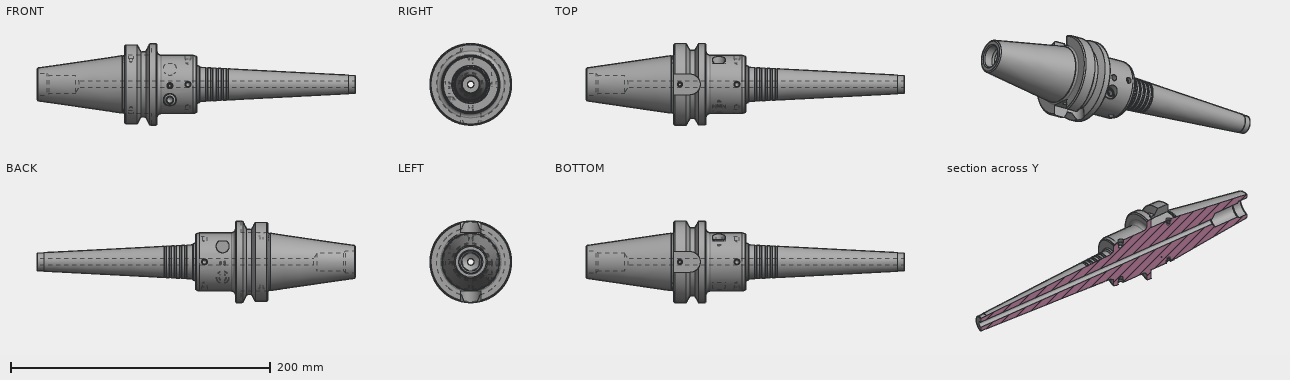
import cadquery as cq
import math

total_length = 245.5

gauge_x = 65.3
gauge_radius = 44.5 / 2
taper_slope = 3.5 / 24
small_end_chamfer = 0.85
neck_radius = 21.8
neck_fillet = 1.5

flange_start = 67.5
flange_end = 92.5
flange_radius = 63.0 / 2
flange_chamfer = 1.0
groove_center = 82.0
groove_floor_radius = 52.8 / 2
groove_floor_half = 1.85
groove_flank_angle = 30
groove_depth = flange_radius - groove_floor_radius
groove_top_half = groove_floor_half + groove_depth * math.tan(math.radians(groove_flank_angle))

body_radius = 45.2 / 2
body_fillet = 3.2
body_end = 123.2
body_edge_length = 2.2
body_edge_drop = 0.7
body_rim = 0.7
hub_root_radius = 14.7
hub_radius = 14.2
hub_shoulder = 124.7
hub_end = 125.6

tip_radius = 14.0 / 2
tip_step = 0.3
tip_start = 240.2
tip_chamfer = 0.5
nose_slope = math.tan(math.radians(3))

ring_count = 5
ring_first = 129.8
ring_last = 145.8
ring_width = 2.0
ring_depth = 0.2
ring_wall = 0.37
ring_pitch = (ring_last - ring_first) / (ring_count - 1)

mouth_radius = 9.3
mouth_chamfer = 0.85
pilot_radius = mouth_radius - mouth_chamfer
pilot_depth = 7.5
thread_radius = 14.0 / 2
thread_depth = 29.5
coolant_radius = 2.5
drill_point_slope = math.tan(math.radians(59))

slot_width = 16.0
slot_floor = 22.5
slot_end = 88.0
slot_screw_x = 72.5
slot_screw_diameter = 4.0
slot_screw_core = 2.3
slot_screw_depth = 5.0

front_screw_count = 4
front_screw_x = 116.3
front_screw_diameter = 4.5
front_screw_core = 3.5
front_screw_depth = 6.1

plug_x = 102.3
plug_seat = 16.0
socket_depth = 2.5

large_plug_z = -12.0
large_bore_diameter = 10.0
large_plug_diameter = 9.0
large_plug_face = 6.0
large_plug_height = 1.5
large_socket_diameter = 4.7

small_plug_z = -1.0
small_bore_diameter = 4.7
small_plug_diameter = 4.2
small_plug_face = 3.5
small_plug_height = 0.7
small_socket_diameter = 2.3


def taper_radius(x):
    return gauge_radius - (gauge_x - x) * taper_slope


def nose_radius(x):
    return tip_radius + tip_step + (tip_start - x) * nose_slope


def turn_about_x(shape, angle):
    return shape.rotate((0, 0, 0), (1, 0, 0), angle)


def turned_body():
    sagitta = 1 - math.sqrt(0.5)
    neck_mid = (flange_start - neck_fillet * sagitta, neck_radius + neck_fillet * sagitta)
    body_mid = (flange_end + body_fillet * sagitta, body_radius + body_fillet * sagitta)
    body_edge_radius = body_radius - body_edge_drop

    outline = (
        cq.Workplane("XY")
        .moveTo(0, 0)
        .lineTo(0, taper_radius(0) - small_end_chamfer)
        .lineTo(small_end_chamfer, taper_radius(small_end_chamfer))
        .lineTo(gauge_x, gauge_radius)
        .lineTo(flange_start - neck_fillet, neck_radius)
        .threePointArc(neck_mid, (flange_start, neck_radius + neck_fillet))
        .lineTo(flange_start, flange_radius - flange_chamfer)
        .lineTo(flange_start + flange_chamfer, flange_radius)
        .lineTo(groove_center - groove_top_half, flange_radius)
        .lineTo(groove_center - groove_floor_half, groove_floor_radius)
        .lineTo(groove_center + groove_floor_half, groove_floor_radius)
        .lineTo(groove_center + groove_top_half, flange_radius)
        .lineTo(flange_end - flange_chamfer, flange_radius)
        .lineTo(flange_end, flange_radius - flange_chamfer)
        .lineTo(flange_end, body_radius + body_fillet)
        .threePointArc(body_mid, (flange_end + body_fillet, body_radius))
        .lineTo(body_end - body_rim - body_edge_length, body_radius)
        .lineTo(body_end - body_rim, body_edge_radius)
        .lineTo(body_end, body_edge_radius - body_rim)
        .lineTo(body_end, hub_root_radius)
        .lineTo(hub_shoulder, hub_radius)
        .lineTo(hub_end, nose_radius(hub_end))
    )
    for i in range(ring_count):
        start = ring_first + i * ring_pitch
        end = start + ring_width
        outline = (
            outline.lineTo(start, nose_radius(start))
            .lineTo(start + ring_wall, nose_radius(start) - ring_depth)
            .lineTo(end - ring_wall, nose_radius(end) - ring_depth)
            .lineTo(end, nose_radius(end))
        )
    outline = (
        outline.lineTo(tip_start, nose_radius(tip_start))
        .lineTo(tip_start, tip_radius)
        .lineTo(total_length - tip_chamfer, tip_radius)
        .lineTo(total_length, tip_radius - tip_chamfer)
        .lineTo(total_length, 0)
        .close()
    )
    return outline.revolve(360, (0, 0, 0), (1, 0, 0))


def axial_bore():
    point_length = (thread_radius - coolant_radius) / drill_point_slope
    return (
        cq.Workplane("XY")
        .moveTo(0, 0)
        .lineTo(0, mouth_radius)
        .lineTo(mouth_chamfer, pilot_radius)
        .lineTo(pilot_depth, pilot_radius)
        .lineTo(pilot_depth + pilot_radius - thread_radius, thread_radius)
        .lineTo(thread_depth, thread_radius)
        .lineTo(thread_depth + point_length, coolant_radius)
        .lineTo(total_length, coolant_radius)
        .lineTo(total_length, 0)
        .close()
        .revolve(360, (0, 0, 0), (1, 0, 0))
    )


def drilled_hole(x, diameter, top, depth):
    """Blind hole along Z with a conical point; depth runs from top to the start of the point."""
    radius = diameter / 2
    bottom = top - depth
    return (
        cq.Workplane("XZ")
        .moveTo(0, bottom - radius / drill_point_slope)
        .lineTo(radius, bottom)
        .lineTo(radius, flange_radius)
        .lineTo(0, flange_radius)
        .close()
        .revolve(360, (0, 0, 0), (0, 1, 0))
        .translate((x, 0, 0))
    )


def screw_hole(x, diameter, core_diameter, top, depth):
    """Drilled hole along Z whose outer half is wider than its core."""
    step = top - depth / 2
    core = drilled_hole(x, core_diameter, top, depth)
    entry = cq.Workplane("XY", origin=(x, 0, step)).circle(diameter / 2).extrude(flange_radius - step)
    return core.union(entry)


def drive_slot():
    """Round-ended slot at +Z, open towards the taper."""
    half_width = slot_width / 2
    round_center = slot_end - half_width
    slot = (
        cq.Workplane("XY", origin=(0, 0, slot_floor))
        .moveTo(gauge_x, -half_width)
        .lineTo(round_center, -half_width)
        .threePointArc((slot_end, 0), (round_center, half_width))
        .lineTo(gauge_x, half_width)
        .close()
        .extrude(flange_radius - slot_floor)
    )
    screw = screw_hole(slot_screw_x, slot_screw_diameter, slot_screw_core, slot_floor, slot_screw_depth)
    return slot.union(screw)


def side_bore(z, diameter):
    """Flat-bottomed hole along Y, open towards -Y."""
    return (
        cq.Workplane("XZ", origin=(plug_x, -plug_seat, z))
        .circle(diameter / 2)
        .extrude(body_radius - plug_seat)
    )


def plug_head(z, diameter, face_diameter, height):
    """Cone rising from the seat of a side bore to a smaller flat face."""
    return (
        cq.Workplane("XZ", origin=(plug_x, -plug_seat, z))
        .circle(diameter / 2)
        .workplane(offset=height)
        .circle(face_diameter / 2)
        .loft()
    )


def plug_socket(z, diameter):
    """Socket with a conical bottom, sunk into a plug."""
    socket = drilled_hole(plug_x, diameter, plug_seat, socket_depth)
    return turn_about_x(socket, 90).translate((0, 0, z))


result = turned_body().cut(axial_bore())

slot = drive_slot()
result = result.cut(slot).cut(turn_about_x(slot, 180))

front_screw = screw_hole(
    front_screw_x, front_screw_diameter, front_screw_core, body_radius, front_screw_depth
)
for i in range(front_screw_count):
    result = result.cut(turn_about_x(front_screw, i * 360 / front_screw_count))

large_bore = side_bore(large_plug_z, large_bore_diameter)
result = result.cut(large_bore).cut(turn_about_x(large_bore, 180))
result = result.union(plug_head(large_plug_z, large_plug_diameter, large_plug_face, large_plug_height))
result = result.cut(plug_socket(large_plug_z, large_socket_diameter))

result = result.cut(side_bore(small_plug_z, small_bore_diameter))
result = result.union(plug_head(small_plug_z, small_plug_diameter, small_plug_face, small_plug_height))
result = result.cut(plug_socket(small_plug_z, small_socket_diameter))